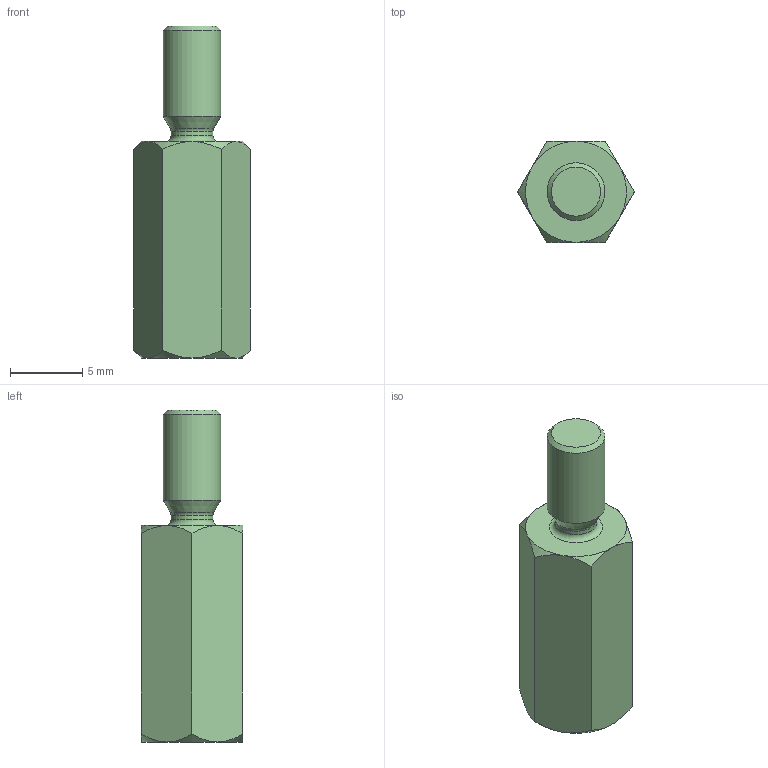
import cadquery as cq
import math

across_flats = 7.0
hex_sides = 6
across_corners = across_flats / math.cos(math.pi / hex_sides)
body_length = 15.0

stud_diameter = 4.0
stud_length = 8.0
tip_chamfer = 0.3

neck_diameter = 2.9
undercut_length = 1.75
undercut_fillet = 0.4
runout_angle = math.radians(30)


def make_hex_body():
    """Hexagonal prism with both ends turned to 45 degree conical chamfers."""
    prism = cq.Workplane("XY").polygon(hex_sides, across_corners).extrude(body_length)
    chamfer = (across_corners - across_flats) / 2
    turned_blank = (
        cq.Workplane("XY")
        .circle(across_corners / 2)
        .extrude(body_length)
        .faces("<Z or >Z")
        .edges()
        .chamfer(chamfer)
    )
    return prism.intersect(turned_blank)


def make_stud():
    """Revolved stud: filleted neck, conical run-out, cylinder and chamfered tip."""
    neck_radius = neck_diameter / 2
    stud_radius = stud_diameter / 2
    top = body_length + stud_length
    undercut_top = body_length + undercut_length

    cone_height = (stud_radius - neck_radius) / math.tan(runout_angle)
    tangent_length = undercut_fillet * math.tan(runout_angle / 2)
    upper_fillet_start = undercut_top - cone_height - tangent_length
    lower_fillet_end = body_length + undercut_fillet

    def fillet_point(center_z, angle):
        """Point on a neck fillet, at an angle above the level of its centre."""
        r = neck_radius + undercut_fillet * (1 - math.cos(angle))
        z = center_z + undercut_fillet * math.sin(angle)
        return (r, z)

    profile = (
        cq.Workplane("XZ")
        .moveTo(0, body_length)
        .lineTo(neck_radius + undercut_fillet, body_length)
        .threePointArc(
            fillet_point(lower_fillet_end, -math.pi / 4),
            fillet_point(lower_fillet_end, 0),
        )
        .lineTo(neck_radius, upper_fillet_start)
        .threePointArc(
            fillet_point(upper_fillet_start, runout_angle / 2),
            fillet_point(upper_fillet_start, runout_angle),
        )
        .lineTo(stud_radius, undercut_top)
        .lineTo(stud_radius, top - tip_chamfer)
        .lineTo(stud_radius - tip_chamfer, top)
        .lineTo(0, top)
        .close()
    )
    return profile.revolve(360, (0, 0, 0), (0, 1, 0))


result = make_hex_body().union(make_stud())